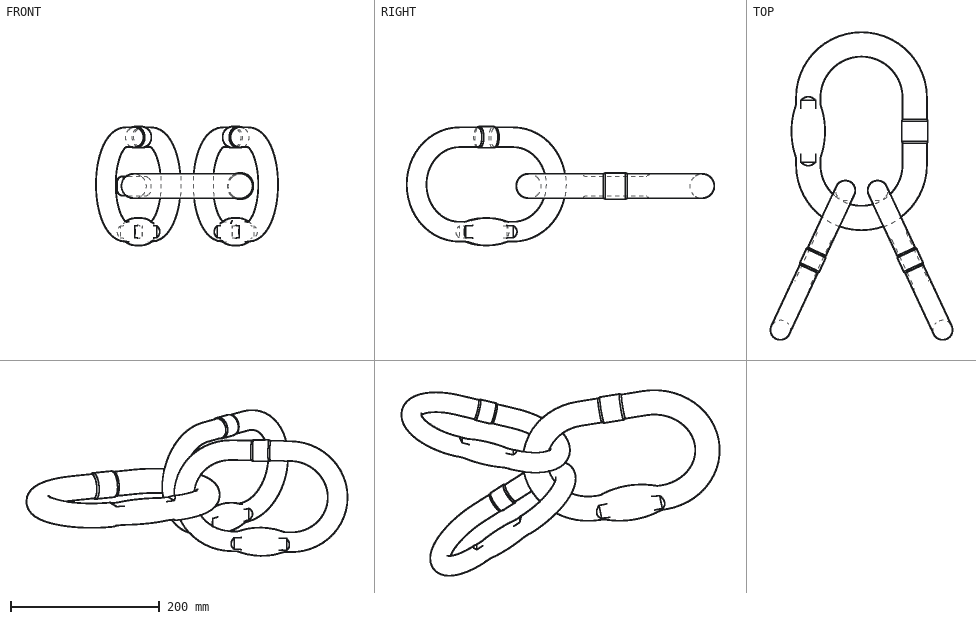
import cadquery as cq
import math

MASTER = {
    "rod_dia": 33.0,
    "inner_width": 110.0,
    "inner_length": 200.0,
    "sleeve_dia": 35.5,
    "sleeve_length": 26.5,
    "sleeve_foot": 32.2,
    "barrel_width": 45.5,
    "barrel_length": 82.5,
    "barrel_thickness": 26.5,
    "barrel_crown": 105.5,
    "barrel_edge_radius": 8.5,
    "barrel_ramp": 5.0,
    "barrel_blend_radius": 8.3,
}

SUB = {
    "rod_dia": 27.0,
    "inner_width": 100.0,
    "inner_length": 180.0,
    "sleeve_dia": 29.0,
    "sleeve_length": 20.5,
    "sleeve_foot": 25.5,
    "barrel_width": 37.2,
    "barrel_length": 70.3,
    "barrel_thickness": 21.5,
    "barrel_crown": 85.5,
    "barrel_edge_radius": 7.0,
    "barrel_ramp": 4.0,
    "barrel_blend_radius": 6.5,
}
SUB_X = 65.5
SUB_Y = -173.2
SUB_Z = 2.0
SUB_TILT = 25


def leg_offset(link):
    """Distance from the link's long axis to the centre of either leg, also its bend radius."""
    return (link["inner_width"] + link["rod_dia"]) / 2


def make_rod(link):
    """Round bar bent to a stadium: long axis along Y, straight legs at X = +-leg_offset."""
    radius = leg_offset(link)
    half_straight = (link["inner_length"] - link["inner_width"]) / 2
    path = (
        cq.Workplane("XY")
        .moveTo(radius, -half_straight)
        .lineTo(radius, half_straight)
        .threePointArc((0, half_straight + radius), (-radius, half_straight))
        .lineTo(-radius, -half_straight)
        .threePointArc((0, -half_straight - radius), (radius, -half_straight))
        .close()
    )
    profile = cq.Workplane("XZ", origin=(radius, -half_straight, 0)).circle(link["rod_dia"] / 2)
    return profile.sweep(path)


def make_sleeve(link):
    """Weld sleeve around the +X leg, with a cone at each end down to the rod surface."""
    rod_radius = link["rod_dia"] / 2
    sleeve_radius = link["sleeve_dia"] / 2
    half_band = link["sleeve_length"] / 2
    half_foot = link["sleeve_foot"] / 2
    return (
        cq.Workplane("XY")
        .polyline([
            (0, -half_foot),
            (rod_radius, -half_foot),
            (sleeve_radius, -half_band),
            (sleeve_radius, half_band),
            (rod_radius, half_foot),
            (0, half_foot),
        ])
        .close()
        .revolve(360, (0, 0), (0, 1))
        .translate((leg_offset(link), 0, 0))
    )


def make_barrel(link):
    """Bulged-sided block on the -X leg, long edges rounded, ends hidden inside the rod."""
    half_width = link["barrel_width"] / 2
    half_length = link["barrel_length"] / 2
    crown = link["barrel_crown"]
    end_half_width = half_width - (crown - math.sqrt(crown**2 - half_length**2))
    return (
        cq.Workplane("XY")
        .moveTo(end_half_width, -half_length)
        .threePointArc((half_width, 0), (end_half_width, half_length))
        .lineTo(-end_half_width, half_length)
        .threePointArc((-half_width, 0), (-end_half_width, -half_length))
        .close()
        .extrude(link["barrel_thickness"] / 2, both=True)
        .edges("%CIRCLE")
        .fillet(link["barrel_edge_radius"])
        .translate((-leg_offset(link), 0, 0))
    )


def make_flat_cutter(link):
    """Material removed above the upper flat: level over the barrel, ramped up at both ends."""
    flat_height = link["barrel_thickness"] / 2
    rod_radius = link["rod_dia"] / 2
    half_length = link["barrel_length"] / 2
    half_mouth = half_length + link["barrel_ramp"]
    return (
        cq.Workplane("YZ", origin=(-leg_offset(link), 0, 0))
        .polyline([
            (-half_length, flat_height),
            (half_length, flat_height),
            (half_mouth, rod_radius),
            (-half_mouth, rod_radius),
        ])
        .close()
        .extrude(rod_radius, both=True)
    )


def add_barrel(rod, link):
    """Flatten the -X leg, join the barrel to it and blend the seam where they meet."""
    upper_cutter = make_flat_cutter(link)
    lower_cutter = upper_cutter.mirror("XY")
    joined = rod.cut(upper_cutter).cut(lower_cutter).union(make_barrel(link))
    seam_region = cq.selectors.BoxSelector(
        (-leg_offset(link) - link["barrel_width"], -link["barrel_length"] / 2, -link["rod_dia"]),
        (-leg_offset(link) + link["barrel_width"], link["barrel_length"] / 2, link["rod_dia"]),
    )
    return joined.edges(seam_region).edges("%BSPLINE").fillet(link["barrel_blend_radius"])


def make_link(link):
    return add_barrel(make_rod(link), link).union(make_sleeve(link)).solids().val()


def make_sub_link(side):
    """Sub-link on the given side (-1 or +1 in X): sleeve uppermost, barrel lowest."""
    return (
        make_link(SUB)
        .rotate((0, 0, 0), (0, 1, 0), -90)
        .rotate((0, 0, 0), (0, 0, 1), side * SUB_TILT)
        .translate((side * SUB_X, SUB_Y, SUB_Z))
    )


master_link = make_link(MASTER)
sub_links = [make_sub_link(side) for side in (-1, 1)]

result = cq.Compound.makeCompound([master_link, *sub_links])